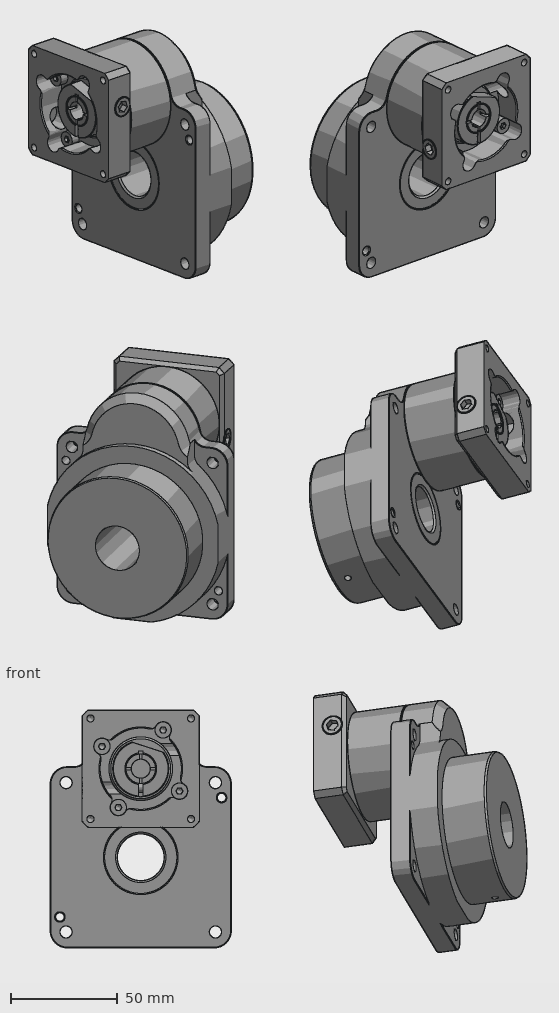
import cadquery as cq
import math


overall_height = 111.6
plate_side = 85.0
half_plate = plate_side / 2
adapter_side = 55.0
half_adapter = adapter_side / 2
pinion_z = overall_height - half_plate - half_adapter

adapter_front_y = -42.0
adapter_depth = 15.5
adapter_back_y = adapter_front_y + adapter_depth
motor_tube_end_y = -25.9
plate_back_y = 9.6
boss_back_y = 19.5
housing_back_y = 23.0
rotor_back_y = 44.5

plate_corner_radius = 8.0
blend_radius = 6.1
plate_edge_chamfer = 0.3
mount_hole_spacing = 70.1
mount_hole_diameter = 5.6
dowel_x = 37.9
dowel_z = 28.0
dowel_diameter = 4.0
dowel_chamfer = 0.5

housing_radius = 43.5
pinion_radius = 26.0
boss_chamfer = 4.0

joint_gap = 0.3
joint_neck_radius = 25.6
tube_edge_chamfer = 0.2
adapter_neck_radius = 22.9

adapter_corner_chamfer = 2.7
adapter_back_chamfer = 1.8
adapter_hole_spacing = 47.2
adapter_hole_diameter = 3.3
adapter_hole_depth = 6.7
drill_point_angle = 118.0
pocket_radius = 19.1
pocket_depth = 13.1
pocket_mouth_chamfer = 0.6
screw_circle_radius = 21.0
screw_first_angle = 60.0
screw_count = 4
scallop_radius = 3.9
screw_head_radius = 3.8
screw_head_face_depth = 8.7
screw_hex_corners = 3.3
screw_hex_depth = 1.7
scallop_blend_radius = 2.8

ring_radius = 15.0
ring_height = 0.9
collar_radius = 13.2
collar_face_depth = 5.2
collar_edge_chamfer = 0.3
collar_flat_distance = 10.6
collar_flat_angle = 72.0
collar_slit_width = 2.0
collar_slit_depth = 6.7
clamp_screw_diameter = 4.0
collar_notch_reach = 8.4
hub_groove_outer_radius = 7.5
hub_groove_inner_radius = 6.9
hub_groove_depth = 0.5
shaft_bore_radius = 4.5
shaft_bore_depth = 13.4
hub_slit_width = 1.1
hub_slit_depth = 4.5

access_depth = 9.2
access_z_offset = 9.0
access_bore_radius = 4.8
plug_radius = 4.9
plug_length = 4.5
plug_chamfer = 0.5
plug_hex_corners = 5.8
plug_hex_depth = 3.3
plug_hex_turn = 12.0

rotor_radius = 34.9
rotor_edge_setback = 1.0
rotor_edge_inset = 0.5
hub_radius = 17.0
hub_bore_radius = 10.9
hub_bore_chamfer = 0.9
housing_bore_chamfer = 0.6
radial_hole_diameter = 3.1
radial_hole_depth = 5.6
radial_hole_y = 36.8
radial_hole_angle = 11.5


def section_at(y, x=0.0, z=0.0):
    """Sketch plane facing -Y at the given point: local x is X, local y is Z."""
    return cq.Workplane("XZ", origin=(x, y, z))


def prism(sketch, length):
    """Extrude a section toward +Y."""
    return sketch.extrude(-length)


def disc(y_start, y_end, radius, x=0.0, z=0.0):
    return prism(section_at(y_start, x, z).circle(radius), y_end - y_start)


def cone(y_start, radius_start, radius_end, length, x=0.0, z=0.0):
    """Frustum (or full cone) running toward +Y."""
    start = cq.Vector(x, y_start, z)
    return cq.Workplane(cq.Solid.makeCone(radius_start, radius_end, length, start, cq.Vector(0, 1, 0)))


def chamfered_mouth(y, radius, chamfer, x=0.0, z=0.0):
    """Space that chamfers the mouth of a hole whose entry faces -Y."""
    return cone(y, radius + chamfer, radius, chamfer, x, z)


def square_prism(side, y_start, depth, z=0.0):
    return prism(section_at(y_start, z=z).rect(side, side), depth)


def polar(radius, angle):
    return radius * math.cos(math.radians(angle)), radius * math.sin(math.radians(angle))


def plate_prism(depth):
    """Square plate joined to the round pinion boss by concave blends."""
    square = square_prism(plate_side, 0, depth).edges("|Y").fillet(plate_corner_radius)
    outline = square.union(disc(0, depth, pinion_radius, z=pinion_z))
    meeting_x = math.sqrt(pinion_radius**2 - (half_plate - pinion_z) ** 2)
    corners = []
    for x in (-meeting_x, meeting_x):
        corner = cq.NearestToPointSelector((x, depth / 2, half_plate))
        corners.append(outline.edges("|Y").edges(corner).val())
    return outline.newObject(corners).fillet(blend_radius)


def mounting_plate():
    return plate_prism(plate_back_y).faces("<Y or >Y").chamfer(plate_edge_chamfer)


def bearing_housing():
    """Round housing trimmed to the width and the foot of the plate."""
    depth = housing_back_y - plate_edge_chamfer
    height = housing_radius + half_plate
    center_z = height / 2 - half_plate
    trim = prism(section_at(plate_edge_chamfer, z=center_z).rect(plate_side, height), depth)
    return disc(plate_edge_chamfer, housing_back_y, housing_radius).intersect(trim)


def pinion_boss():
    """Chamfered boss with straight sides that blend into the round housing."""
    blend_x = pinion_radius + blend_radius
    reach = housing_radius + blend_radius
    blend_z = math.sqrt(reach**2 - blend_x**2)
    foot_x = blend_x * housing_radius / reach
    foot_z = blend_z * housing_radius / reach
    top_z = pinion_z + pinion_radius
    column = prism(
        section_at(0)
        .moveTo(pinion_radius, top_z)
        .lineTo(pinion_radius, blend_z)
        .radiusArc((foot_x, foot_z), -blend_radius)
        .lineTo(-foot_x, foot_z)
        .radiusArc((-pinion_radius, blend_z), -blend_radius)
        .lineTo(-pinion_radius, top_z)
        .close(),
        boss_back_y,
    )
    outline = plate_prism(boss_back_y).faces(">Y").chamfer(boss_chamfer)
    return outline.faces("<Y").chamfer(plate_edge_chamfer).intersect(column)


def plate_holes():
    """Space of the mounting holes, the two dowel holes and the chamfered hub bore."""
    corners = section_at(0).rect(mount_hole_spacing, mount_hole_spacing, forConstruction=True).vertices()
    space = prism(corners.circle(mount_hole_diameter / 2), plate_back_y)
    dowel_radius = dowel_diameter / 2
    for side in (1, -1):
        x = side * dowel_x
        z = side * dowel_z
        space = space.union(disc(0, plate_back_y, dowel_radius, x, z))
        space = space.union(chamfered_mouth(0, dowel_radius, dowel_chamfer, x, z))
    space = space.union(disc(0, housing_back_y, hub_radius))
    return space.union(chamfered_mouth(0, hub_radius, housing_bore_chamfer))


def motor_tube():
    neck = disc(-joint_gap, 0, joint_neck_radius, z=pinion_z)
    tube = disc(motor_tube_end_y, -joint_gap, pinion_radius, z=pinion_z)
    tube = tube.faces("<Y or >Y").chamfer(tube_edge_chamfer)
    adapter_neck = disc(adapter_back_y, motor_tube_end_y, adapter_neck_radius, z=pinion_z)
    return neck.union(tube).union(adapter_neck)


def adapter_block():
    """Square block with cut corners and a chamfer around its back face."""
    block = square_prism(adapter_side, adapter_front_y, adapter_depth, pinion_z)
    return block.edges("|Y").chamfer(adapter_corner_chamfer).faces(">Y").chamfer(adapter_back_chamfer)


def adapter_corner_holes():
    """Space of the blind drilled holes in the corners of the adapter face."""
    radius = adapter_hole_diameter / 2
    tip_length = radius / math.tan(math.radians(drill_point_angle / 2))
    tip_y = adapter_front_y + adapter_hole_depth
    offset = adapter_hole_spacing / 2
    space = cq.Workplane()
    for x in (-offset, offset):
        for z in (pinion_z - offset, pinion_z + offset):
            space = space.add(disc(adapter_front_y, tip_y, radius, x, z))
            space = space.add(cone(tip_y, radius, 0, tip_length, x, z))
    return space.combine()


screw_angles = [screw_first_angle + i * 360 / screw_count for i in range(screw_count)]


def pocket():
    """Space of the round pocket with a scallop over each screw and a chamfered mouth."""
    floor_y = adapter_front_y + pocket_depth
    space = disc(adapter_front_y, floor_y, pocket_radius, z=pinion_z)
    for angle in screw_angles:
        x, z = polar(screw_circle_radius, angle)
        space = space.union(disc(adapter_front_y, floor_y, scallop_radius, x, pinion_z + z))

    cosine = (pocket_radius**2 + screw_circle_radius**2 - scallop_radius**2) / (
        2 * pocket_radius * screw_circle_radius
    )
    half_opening = math.degrees(math.acos(cosine))
    junctions = []
    for angle in screw_angles:
        for side in (-1, 1):
            x, z = polar(pocket_radius, angle + side * half_opening)
            place = (x, adapter_front_y + pocket_depth / 2, pinion_z + z)
            junctions.append(space.edges("|Y").edges(cq.NearestToPointSelector(place)).val())
    space = space.newObject(junctions).fillet(scallop_blend_radius)
    return space.union(chamfered_mouth(adapter_front_y, pocket_radius, pocket_mouth_chamfer, z=pinion_z))


def add_screws(body):
    """Socket heads standing on the pocket floor, each with a cone at the bottom of its hexagon."""
    face_y = adapter_front_y + screw_head_face_depth
    socket_y = face_y + screw_hex_depth
    socket_radius = screw_hex_corners / 2 * math.cos(math.pi / 6)
    tip_length = socket_radius / math.tan(math.radians(drill_point_angle / 2))
    for angle in screw_angles:
        x, z = polar(screw_circle_radius, angle)
        z += pinion_z
        head = disc(face_y, adapter_front_y + pocket_depth, screw_head_radius, x, z)
        socket = prism(section_at(face_y, x, z).polygon(6, screw_hex_corners), screw_hex_depth)
        tip = cone(socket_y, socket_radius, 0, tip_length, x, z)
        body = body.union(head).cut(socket).cut(tip)
    return body


def side_access():
    """Space of one clamp screw access: a bore that grazes the pocket floor, plugged in the -X side."""
    center = (-half_adapter, adapter_front_y + access_depth, pinion_z - access_z_offset)
    side = cq.Workplane("YZ", origin=center)
    seat = side.circle(plug_radius).extrude(plug_chamfer)
    plug_edge = cq.Solid.makeCone(
        plug_radius - plug_chamfer, plug_radius, plug_chamfer, cq.Vector(center), cq.Vector(1, 0, 0)
    )
    turned = side.transformed(rotate=(0, 0, plug_hex_turn))
    socket = turned.polygon(6, plug_hex_corners).extrude(plug_hex_depth)
    bore_length = half_adapter - plug_length
    bore = side.workplane(offset=plug_length).circle(access_bore_radius).extrude(bore_length)
    return seat.cut(cq.Workplane(plug_edge)).union(socket).union(bore)


def cut_side_accesses(body):
    """The two accesses lie half a turn apart about the pinion axis."""
    access = side_access()
    opposite = access.rotate((0, 0, pinion_z), (0, 1, pinion_z), 180)
    return body.cut(access).cut(opposite)


def shaft_clamp():
    """Stepped collar standing in the pocket, flattened on one side down to its foot ring."""
    floor_y = adapter_front_y + pocket_depth
    ring_y = floor_y - ring_height
    face_y = adapter_front_y + collar_face_depth
    foot = disc(floor_y, adapter_back_y, ring_radius, z=pinion_z)
    ring = cone(ring_y, ring_radius - ring_height, ring_radius, ring_height, z=pinion_z)
    collar = disc(face_y, ring_y, collar_radius, z=pinion_z)
    collar = collar.faces("<Y").chamfer(collar_edge_chamfer)
    flat = prism(
        section_at(face_y, z=pinion_z)
        .transformed(rotate=(0, 0, collar_flat_angle))
        .center(collar_flat_distance + collar_radius, 0)
        .rect(2 * collar_radius, 2 * collar_radius),
        ring_y - face_y,
    )
    return foot.union(ring).union(collar.cut(flat))


def clamp_screw():
    """Shank of the clamp screw where it bridges the slit of the collar."""
    start = (-collar_slit_width / 2, adapter_front_y + access_depth, pinion_z - access_z_offset)
    return cq.Workplane("YZ", origin=start).circle(clamp_screw_diameter / 2).extrude(collar_slit_width)


def clamp_openings():
    """Space of the shaft bore, the hub outline groove and the slits of hub and collar."""
    face_y = adapter_front_y + collar_face_depth
    groove = disc(face_y, face_y + hub_groove_depth, hub_groove_outer_radius, z=pinion_z)
    groove = groove.cut(disc(face_y, face_y + hub_groove_depth, hub_groove_inner_radius, z=pinion_z))
    bore = disc(face_y, face_y + shaft_bore_depth, shaft_bore_radius, z=pinion_z)

    face = section_at(face_y, z=pinion_z)
    hub_slits = prism(face.rect(2 * hub_groove_inner_radius, hub_slit_width), hub_slit_depth)
    hub_slits = hub_slits.union(prism(face.rect(hub_slit_width, 2 * hub_groove_inner_radius), hub_slit_depth))

    slit_length = collar_radius - hub_groove_inner_radius
    slit_center = (collar_radius + hub_groove_inner_radius) / 2
    slit = prism(face.center(0, -slit_center).rect(collar_slit_width, slit_length), collar_slit_depth)
    notch_length = collar_notch_reach - hub_groove_inner_radius
    notch_center = (collar_notch_reach + hub_groove_inner_radius) / 2
    notch = prism(face.center(0, notch_center).rect(collar_slit_width, notch_length), collar_slit_depth)
    return groove.union(bore).union(hub_slits).union(slit).union(notch)


def make_housing():
    adapter = adapter_block().cut(adapter_corner_holes()).cut(pocket())
    adapter = cut_side_accesses(adapter)
    adapter = add_screws(adapter)
    adapter = adapter.union(shaft_clamp())
    base = mounting_plate().union(bearing_housing()).union(pinion_boss()).cut(plate_holes())
    return base.union(motor_tube()).union(adapter).cut(clamp_openings()).union(clamp_screw())


def make_rotor():
    """Output flange with a hollow hub that fills the bore of the housing."""
    edge_y = rotor_back_y - rotor_edge_setback
    flange = disc(housing_back_y, edge_y, rotor_radius)
    flange = flange.union(cone(edge_y, rotor_radius, rotor_radius - rotor_edge_inset, rotor_edge_setback))
    body = flange.union(disc(0, housing_back_y, hub_radius))
    body = body.cut(disc(0, rotor_back_y, hub_bore_radius))
    body = body.cut(chamfered_mouth(0, hub_bore_radius, hub_bore_chamfer))

    x, z = polar(rotor_radius, -90 - radial_hole_angle)
    start = cq.Vector(x, radial_hole_y, z)
    hole = cq.Solid.makeCylinder(radial_hole_diameter / 2, radial_hole_depth, start, cq.Vector(-x, 0, -z))
    return body.cut(cq.Workplane(hole))


housing = make_housing()
rotor = make_rotor()

result = cq.Compound.makeCompound([housing.val(), rotor.val()])